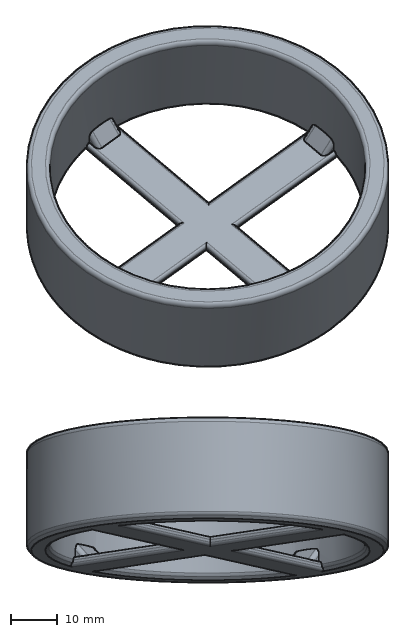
import cadquery as cq
import math

outer_diameter = 77.5
bore_diameter = 67.5
height = 22.0
rim_fillet = 1.0
base_chamfer = 1.0
base_fillet = 1.0

bar_width = 8.6
bar_thickness = 2.0
bar_edge_fillet = 0.7

wedge_width = 7.0
wedge_reach = 3.1
wedge_slope = 45.0
wedge_edge_fillet = 1.0

outer_radius = outer_diameter / 2
bore_radius = bore_diameter / 2
mid_wall_radius = (outer_radius + bore_radius) / 2


def make_ring():
    """Ring with a rounded rim and a base chamfer that blends into the walls."""
    ring = cq.Workplane("XY").circle(outer_radius).circle(bore_radius).extrude(height)
    ring = ring.faces(">Z").edges().fillet(rim_fillet)
    ring = ring.faces("<Z").edges().chamfer(base_chamfer)
    chamfer_tops = cq.selectors.BoxSelector(
        (-outer_radius, -outer_radius, 0.5 * base_chamfer),
        (outer_radius, outer_radius, 1.5 * base_chamfer),
    )
    return ring.edges("%CIRCLE").edges(chamfer_tops).fillet(base_fillet)


def make_bar():
    """Bar along X with rounded long edges, its ends buried in the ring wall."""
    length = 2 * mid_wall_radius
    bar = cq.Workplane("XY").box(length, bar_width, bar_thickness, centered=(True, True, False))
    return bar.edges("|X").fillet(bar_edge_fillet)


def make_wedge():
    """Wedge on the +X bar end, sloping up from the bar to the bore wall."""
    tip_radius = bore_radius - wedge_reach
    wall_height = wedge_reach * math.tan(math.radians(wedge_slope))
    wedge = (
        cq.Workplane("XZ", origin=(0, 0, bar_thickness))
        .moveTo(tip_radius, 0)
        .lineTo(mid_wall_radius, 0)
        .lineTo(mid_wall_radius, wall_height)
        .lineTo(bore_radius, wall_height)
        .close()
        .extrude(wedge_width / 2, both=True)
    )
    sloping_edges = "not(|X or |Y or |Z)"
    return wedge.edges(sloping_edges).fillet(wedge_edge_fillet)


def turned(body, angle):
    """Copy of a body turned about the ring axis by an angle in degrees."""
    return body.rotate((0, 0, 0), (0, 0, 1), angle)


bar = make_bar()
wedge = make_wedge()

result = make_ring().union(bar).union(turned(bar, 90))
for quarter in range(4):
    result = result.union(turned(wedge, 90 * quarter))